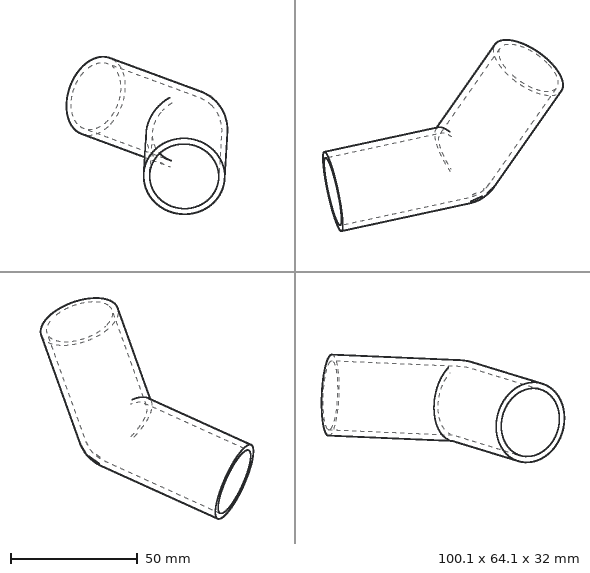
import cadquery as cq
import math

overall_length = 100.1
outer_diameter = 32.0
inner_diameter = 27.2
bend_angle = 45.0

bend = math.radians(bend_angle)
end_overhang = outer_diameter / 2 * math.sin(bend)
leg_length = (overall_length - end_overhang) / (1 + math.cos(bend))

straight_direction = cq.Vector(-1, 0, 0)
angled_direction = cq.Vector(math.cos(bend), -math.sin(bend), 0)


def bent_rod(diameter):
    """Two round legs joined by a ball that rounds the outside of the corner."""
    radius = diameter / 2
    rod = cq.Workplane("XY").sphere(radius)
    for direction in (straight_direction, angled_direction):
        leg = cq.Solid.makeCylinder(radius, leg_length, cq.Vector(0, 0, 0), direction)
        rod = rod.union(cq.Workplane(obj=leg))
    return rod


result = bent_rod(outer_diameter).cut(bent_rod(inner_diameter))